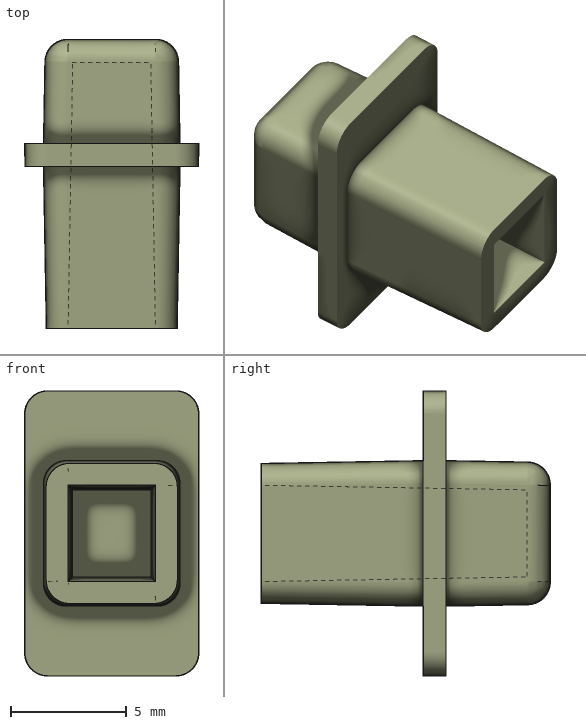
import cadquery as cq
import math

draft = 1.0
corner_radius = 1.0
length = 12.5
flange_front = 7.0
flange_thickness = 1.0
flange_back = flange_front + flange_thickness
flange_width = 7.54
flange_height = 12.32
mouth_width = 5.66
mouth_height = 6.05
pocket_width = 3.78
pocket_height = 4.16
end_wall = 1.0
pocket_depth = length - end_wall


def draft_growth(distance):
    """Change of a full width over a distance when both sides are drafted."""
    return 2 * distance * math.tan(math.radians(draft))


root_width = mouth_width + draft_growth(flange_front)
root_height = mouth_height + draft_growth(flange_front)


def tapered_block(width, height, start, end):
    """Block that starts at the given size and narrows from start to end along Y."""
    shrink = draft_growth(abs(end - start))
    return (
        cq.Workplane("XZ", origin=(0, start, 0))
        .rect(width, height)
        .workplane(offset=start - end)
        .rect(width - shrink, height - shrink)
        .loft(ruled=True)
    )


def round_corners(block):
    """Round the four long edges that run from the front to the back."""
    return block.edges("not(<Y or >Y)").fillet(corner_radius)


def make_flange():
    """Rounded plate whose two X sides are drafted toward the mouth."""
    front_width = flange_width - draft_growth(flange_thickness)
    outline = [
        (-front_width / 2, flange_front),
        (front_width / 2, flange_front),
        (flange_width / 2, flange_back),
        (-flange_width / 2, flange_back),
    ]
    plate = cq.Workplane("XY").polyline(outline).close().extrude(flange_height / 2, both=True)
    return round_corners(plate)


front_plug = round_corners(tapered_block(root_width, root_height, flange_front, 0))
rear_plug = round_corners(tapered_block(root_width, root_height, flange_back, length))
rear_plug = rear_plug.faces(">Y").edges().fillet(corner_radius)
pocket = tapered_block(pocket_width, pocket_height, 0, pocket_depth)

result = front_plug.union(make_flange()).union(rear_plug).cut(pocket)